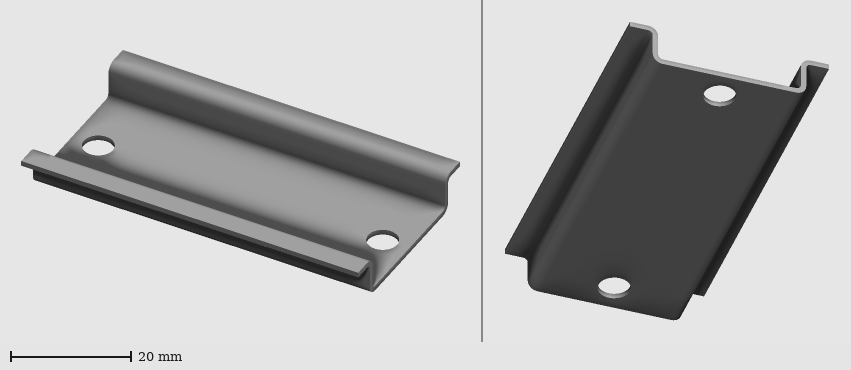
import cadquery as cq

length = 64.0
width = 35.0
height = 7.5
thickness = 0.95

channel_width = 27.0
inner_bend_radius = 0.8
outer_bend_radius = inner_bend_radius + thickness

hole_diameter = 5.5
hole_spacing = 54.0


def make_rail():
    """Extrude the hat-shaped cross section, centred on X and Y, floor at Z = 0."""
    flange_edge = width / 2
    outer_wall = channel_width / 2
    inner_wall = outer_wall - thickness
    flange_underside = height - thickness
    outline = [
        (-flange_edge, height),
        (-inner_wall, height),
        (-inner_wall, thickness),
        (inner_wall, thickness),
        (inner_wall, height),
        (flange_edge, height),
        (flange_edge, flange_underside),
        (outer_wall, flange_underside),
        (outer_wall, 0),
        (-outer_wall, 0),
        (-outer_wall, flange_underside),
        (-flange_edge, flange_underside),
    ]
    return cq.Workplane("YZ").polyline(outline).close().extrude(length / 2, both=True)


def round_bends(rail):
    """Round both faces of every bend about a shared centre."""
    top_corners = rail.faces(">Z").edges("|X").edges(
        cq.selectors.BoxSelector(
            (-length, -channel_width / 2, 0), (length, channel_width / 2, 2 * height)
        )
    )
    rail = top_corners.fillet(outer_bend_radius)
    rail = rail.faces("<Z").edges("|X").fillet(outer_bend_radius)

    for side in (-1, 1):
        outer_wall = side * channel_width / 2
        inner_wall = outer_wall - side * thickness
        for corner in ((0, inner_wall, thickness), (0, outer_wall, height - thickness)):
            rail = rail.edges(cq.selectors.NearestToPointSelector(corner)).fillet(inner_bend_radius)
    return rail


def cut_mounting_holes(rail):
    """Drill the two holes through the channel floor on the centre line."""
    holes = (
        cq.Workplane("XY")
        .pushPoints([(-hole_spacing / 2, 0), (hole_spacing / 2, 0)])
        .circle(hole_diameter / 2)
        .extrude(thickness)
    )
    return rail.cut(holes)


result = cut_mounting_holes(round_bends(make_rail()))